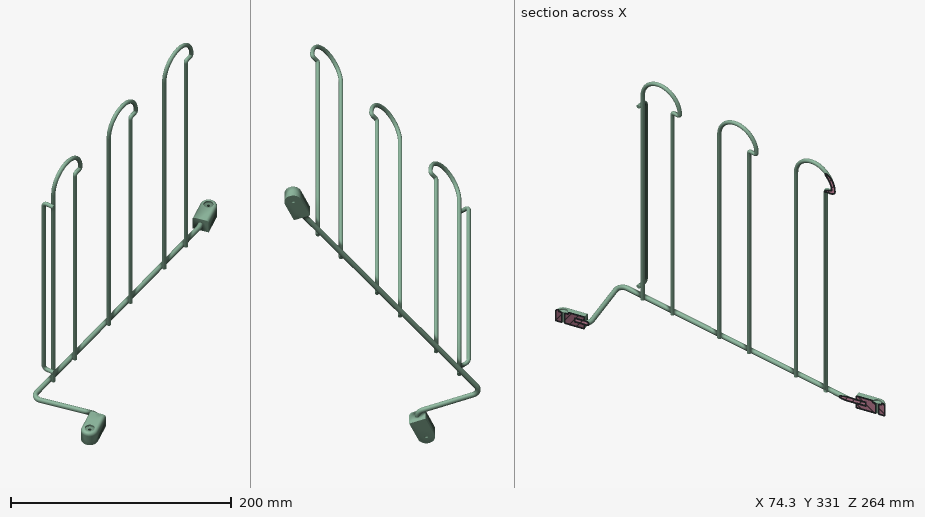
import cadquery as cq
import math

rod_dia = 5.0
rod_z = 7.3
rod_bend_radius = 7.0
slant_angle = math.radians(14)
slant_start_y = 132.0
crossbar_y = -131.7
insert_depth = 10.0

overall_length = 331.0
block_width = 16.0
block_length = 29.0
block_height = 14.0
block_edge_radius = 3.0
screw_hole_dia = 3.0
counterbore_dia = 9.0
counterbore_depth = 2.0

wire_dia = 4.0
weld_offset = 4.0
hoop_count = 3
hoop_pitch = 90.0
last_hoop_u = 242.0
hoop_arc_radius = 22.0
hoop_leg_spacing = 35.0
hoop_top_z = 264.0
hoop_bend_radius = 2.15

bail_offset = 3.3
bail_low_z = 21.5
bail_high_z = 227.5
bail_outer_v = -4.3
bail_end_v = 6.3
bail_bend_radius = 3.5

along = cq.Vector(-math.sin(slant_angle), -math.cos(slant_angle), 0)
across = cq.Vector(math.cos(slant_angle), -math.sin(slant_angle), 0)
slant_start = cq.Vector(0, slant_start_y, 0)
block_center_y = overall_length / 2 - block_width / 2
block_face_y = overall_length / 2 - block_length


def sweep_wire(path, diameter):
    """Round wire of the given diameter along a path."""
    section = cq.Plane(origin=path.startPoint(), normal=path.tangentAt(0))
    return cq.Workplane(section).circle(diameter / 2).sweep(cq.Workplane(path), transition="right")


def bent_path(points, bend_radius):
    """Open polyline whose inner corners are rounded."""
    path = cq.Wire.makePolygon(points)
    corners = [v for v in path.Vertices() if any((v.Center() - p).Length < 3.31e-06 for p in points[1:-1])]
    return path.fillet2D(bend_radius, corners)


def make_base_rod():
    end_y = block_face_y + insert_depth
    corner_x = (crossbar_y - slant_start_y) * math.tan(slant_angle)
    points = [
        cq.Vector(0, end_y, rod_z),
        cq.Vector(0, slant_start_y, rod_z),
        cq.Vector(corner_x, crossbar_y, rod_z),
        cq.Vector(0, crossbar_y, rod_z),
        cq.Vector(0, -end_y, rod_z),
    ]
    return sweep_wire(bent_path(points, rod_bend_radius), rod_dia)


def make_hoop(leg_u):
    """Long leg, half-circle head, short step back and short leg, in one upright plane."""
    plane = cq.Plane(origin=slant_start + across * weld_offset, xDir=along, normal=across * -1)
    r = hoop_bend_radius
    head_z = hoop_top_z - wire_dia / 2 - hoop_arc_radius
    head_end_u = leg_u - 2 * hoop_arc_radius
    short_leg_u = leg_u - hoop_leg_spacing
    step_z = head_z - r
    path = (
        cq.Workplane(plane)
        .moveTo(leg_u, rod_z)
        .lineTo(leg_u, head_z)
        .threePointArc((leg_u - hoop_arc_radius, head_z + hoop_arc_radius), (head_end_u, head_z))
        .tangentArcPoint((head_end_u + r, step_z), relative=False)
        .lineTo(short_leg_u - r, step_z)
        .tangentArcPoint((short_leg_u, step_z - r), relative=False)
        .lineTo(short_leg_u, rod_z)
        .wire()
        .val()
    )
    return sweep_wire(path, wire_dia)


def make_bail():
    base = slant_start + along * (last_hoop_u + bail_offset)
    up = cq.Vector(0, 0, 1)
    points = [
        base + across * bail_end_v + up * bail_low_z,
        base + across * bail_outer_v + up * bail_low_z,
        base + across * bail_outer_v + up * bail_high_z,
        base + across * bail_end_v + up * bail_high_z,
    ]
    return sweep_wire(bent_path(points, bail_bend_radius), wire_dia)


def make_wire_frame():
    """All wires welded into one body."""
    frame = make_base_rod()
    for i in range(hoop_count):
        frame = frame.union(make_hoop(last_hoop_u - i * hoop_pitch))
    return frame.union(make_bail())


def make_end_block(side, frame):
    """Block at the +Y (side=1) or -Y (side=-1) end, with a socket fitting the rod."""
    half = block_width / 2
    face_y = side * block_face_y
    center_y = side * block_center_y
    block = (
        cq.Workplane("XY")
        .moveTo(-half, face_y)
        .lineTo(-half, center_y)
        .threePointArc((0, side * overall_length / 2), (half, center_y))
        .lineTo(half, face_y)
        .close()
        .extrude(block_height)
    )
    block = block.edges(">Z").edges("<Y" if side < 0 else ">Y").fillet(block_edge_radius)
    block = (
        block.faces(">Z")
        .workplane(origin=(0, center_y, block_height))
        .cboreHole(screw_hole_dia, counterbore_dia, counterbore_depth)
    )
    return block.cut(frame)


wire_frame = make_wire_frame()
end_blocks = [make_end_block(side, wire_frame) for side in (1, -1)]

result = cq.Compound.makeCompound([wire_frame.val(), *[block.val() for block in end_blocks]])